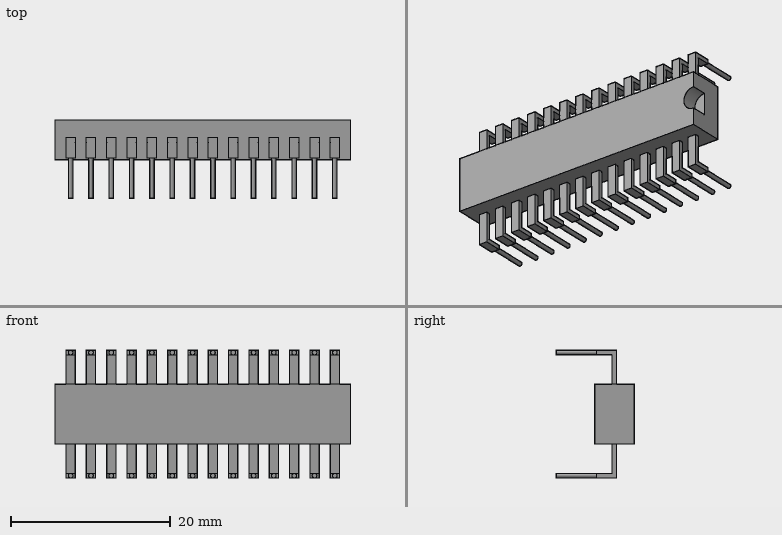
import cadquery as cq

body_length = 37.0
body_depth = 5.0
body_height = 7.5

notch_radius = 1.5
notch_rise = 0.1
notch_depth = 2.25

lead_count = 14
row_span = 33.05
lead_pitch = row_span / (lead_count - 1)
lead_width = 1.2
lead_thickness = 0.6
lead_setback = 2.22
foot_length = 2.55
pin_length = 5.05
overall_height = 16.0

back_y = body_depth / 2
upright_back_y = back_y - lead_setback
foot_front_y = upright_back_y - foot_length
lead_tip_z = overall_height / 2
pin_diameter = lead_thickness


def housing():
    return cq.Workplane("XY").box(body_length, body_depth, body_height)


def index_notch():
    return (
        cq.Workplane("XZ", origin=(-body_length / 2, back_y, notch_rise))
        .circle(notch_radius)
        .extrude(notch_depth)
    )


def upper_lead(x):
    """Upright from the housing's mid-plane, bent to a forward foot with a round pin."""
    upright = cq.Workplane("XY").box(
        lead_width, lead_thickness, lead_tip_z, centered=(True, False, False)
    ).translate((x, upright_back_y - lead_thickness, 0))
    foot = cq.Workplane("XY").box(
        lead_width, foot_length, lead_thickness, centered=(True, False, False)
    ).translate((x, foot_front_y, lead_tip_z - lead_thickness))
    pin = (
        cq.Workplane("XZ", origin=(x, foot_front_y, lead_tip_z - lead_thickness / 2))
        .circle(pin_diameter / 2)
        .extrude(pin_length)
    )
    return upright.union(foot).union(pin)


result = housing()
first_lead_x = -row_span / 2
for index in range(lead_count):
    lead = upper_lead(first_lead_x + index * lead_pitch)
    result = result.union(lead).union(lead.mirror("XY"))

result = result.cut(index_notch())